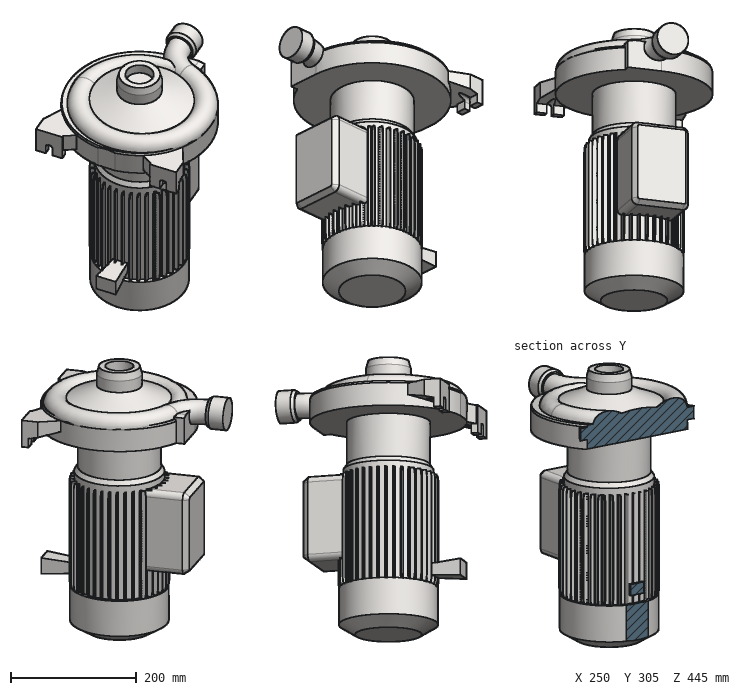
import math

import cadquery as cq


FAN_COVER_BASE_RADIUS = 53.0
FAN_COVER_RADIUS = 79.0
FAN_COVER_CONE_TOP = 16.0
FAN_COVER_TOP = 75.5
FRAME_RADIUS = 72.0
FRAME_TOP = 268.0
BARREL_RADIUS = 66.5
BARREL_BOTTOM = 276.0
FLANGE_RADIUS = 125.0
FLANGE_BOTTOM = 345.7
FLANGE_RIM = 382.6
FLANGE_TOP = 386.0
FLANGE_CHAMFER = 1.5
COVER_CONE_RADIUS = 95.0
COVER_CONE_SLOPE = 0.41
NOZZLE_RADIUS = 36.0
NOZZLE_BOTTOM = 413.0
NOZZLE_CHAMFER_BOTTOM = 433.0
NOZZLE_TOP_RADIUS = 32.7
NOZZLE_TOP = 445.0
SUCTION_BORE_RADIUS = 22.5
SUCTION_BORE_DEPTH = 16.5
FLANGE_FLAT_WIDTH = 30.5

FIN_RADIUS = 80.0
FIN_END_DROP = 1.5
FIN_END_LENGTH = 13.0
FIN_TOP = 257.3
FIN_THICKNESS = 1.8
FIN_PITCH_ANGLE = 9.0
FINS_PER_HALF_GROUP = 5
FIN_ROOT = 50.0

PIPE_RADIUS = 20.0
PIPE_Z = FLANGE_RIM
VOLUTE_CENTER_X = 5.0
VOLUTE_RADIUS = 100.0
OUTLET_START_ANGLE = 70.0
TAIL_END_ANGLE = 76.0
TAIL_RADIUS_LOSS = 7.5
TAIL_INWARD_SHIFT = 5.5
TAIL_RISE = 3.5
TAIL_SECTIONS = 5

SOCKET_RADIUS = 26.3
SOCKET_CONE_LENGTH = 5.5
SOCKET_CONE_RADIUS = 23.0
OUTLET_END_Y = 180.0

PAD_RIGHT = 56.0
PAD_SHOULDER = 45.0
PAD_TOP = 392.0
PAD_SHOULDER_DROP = 2.7
PAD_INNER_Y = 90.0

FOOT_FACE_Y = -125.0
FOOT_OUTER_X = 123.2
FOOT_INNER_X = 77.0
FOOT_BOTTOM = 337.6
FOOT_PLATE_THICKNESS = 11.4
FOOT_SHOULDER_Y = -98.0
FOOT_OUTER_ROOT = (106.4, -64.5)
FOOT_INNER_ROOT = (58.5, -111.0)
FOOT_INNER_STEP = 3.0
FOOT_WEB_BOTTOM = 352.5
FOOT_ROOT_BOTTOM = 364.0
FOOT_SLOT_X = 100.2
FOOT_SLOT_WIDTH = 12.0
FOOT_SLOT_TOP = 356.8

BOX_WIDTH = 95.5
BOX_BOTTOM = 119.0
BOX_TOP = 256.8
BOX_OUTER_Y = 129.0
BOX_CORNER_RADIUS = 10.0
BOX_CHAMFER_DEPTH = 9.5
BOX_CHAMFER_INSET = 7.0

SUPPORT_Z = 99.0
SUPPORT_FACE_WIDTH = 34.0
SUPPORT_FACE_HEIGHT = 27.0
SUPPORT_TAPER = 4.7
SUPPORT_ROOT_Y = -60.0


def turned(points):
    """Revolve a closed (radius, height) outline about the pump axis."""
    return cq.Workplane("XZ").polyline(points).close().revolve(360, (0, 0, 0), (0, 1, 0))


def box_between(low, high):
    """Box spanned by two opposite corners."""
    size = [b - a for a, b in zip(low, high)]
    return cq.Workplane("XY").box(*size, centered=False).translate(low)


def make_body():
    cone_edge_z = NOZZLE_BOTTOM - COVER_CONE_SLOPE * (COVER_CONE_RADIUS - NOZZLE_RADIUS)
    body = turned([
        (0, 0),
        (FAN_COVER_BASE_RADIUS, 0),
        (FAN_COVER_RADIUS, FAN_COVER_CONE_TOP),
        (FAN_COVER_RADIUS, FAN_COVER_TOP),
        (FRAME_RADIUS, FAN_COVER_TOP),
        (FRAME_RADIUS, FRAME_TOP),
        (BARREL_RADIUS, BARREL_BOTTOM),
        (BARREL_RADIUS, FLANGE_BOTTOM),
        (FLANGE_RADIUS, FLANGE_BOTTOM),
        (FLANGE_RADIUS, FLANGE_RIM),
        (FLANGE_RADIUS - FLANGE_CHAMFER, FLANGE_TOP),
        (COVER_CONE_RADIUS, FLANGE_TOP),
        (COVER_CONE_RADIUS, cone_edge_z),
        (NOZZLE_RADIUS, NOZZLE_BOTTOM),
        (NOZZLE_RADIUS, NOZZLE_CHAMFER_BOTTOM),
        (NOZZLE_TOP_RADIUS, NOZZLE_TOP),
        (0, NOZZLE_TOP),
    ])
    flat_y = -math.sqrt(FLANGE_RADIUS**2 - (FLANGE_FLAT_WIDTH / 2) ** 2)
    flat_cut = box_between(
        (-FLANGE_RADIUS, -2 * FLANGE_RADIUS, FLANGE_BOTTOM),
        (FLANGE_RADIUS, flat_y, FLANGE_TOP),
    )
    return body.cut(flat_cut)


def make_suction_bore():
    bore = cq.Workplane("XY").circle(SUCTION_BORE_RADIUS).extrude(SUCTION_BORE_DEPTH)
    return bore.translate((0, 0, NOZZLE_TOP - SUCTION_BORE_DEPTH))


def make_fin(offset, tip):
    """Plate in a plane X = offset, reaching out to Y = tip and easing in towards both ends."""
    middle_z = (FAN_COVER_TOP + FIN_TOP) / 2
    upper_half = (
        cq.Workplane("YZ")
        .moveTo(tip, middle_z)
        .lineTo(tip, FIN_TOP - FIN_END_LENGTH)
        .tangentArcPoint((tip - FIN_END_DROP, FIN_TOP), relative=False)
        .lineTo(FIN_ROOT, FIN_TOP)
        .lineTo(FIN_ROOT, middle_z)
        .close()
        .extrude(FIN_THICKNESS / 2, both=True)
        .translate((offset, 0, 0))
    )
    return upper_half.union(upper_half.mirror("XY", (0, 0, middle_z)))


def make_fins():
    """Four groups of parallel fins, one group per side, with their outer tip edges on a circle."""
    group = cq.Workplane("XY")
    for index in range(FINS_PER_HALF_GROUP):
        angle = math.radians((index + 0.5) * FIN_PITCH_ANGLE)
        offset = FIN_RADIUS * math.sin(angle)
        tip = math.sqrt(FIN_RADIUS**2 - (offset + FIN_THICKNESS / 2) ** 2)
        fin = make_fin(offset, tip)
        group = group.union(fin).union(fin.mirror("YZ"))
    fins = cq.Workplane("XY")
    for quarter in range(4):
        fins = fins.union(group.rotate((0, 0, 0), (0, 0, 1), 90 * quarter))
    return fins


def volute_point(angle, radius=VOLUTE_RADIUS, z=PIPE_Z):
    """Point on the volute centre line, angle in degrees from +X."""
    turn = math.radians(angle)
    return cq.Vector(VOLUTE_CENTER_X + radius * math.cos(turn), radius * math.sin(turn), z)


def make_volute():
    """Constant pipe from the -X side round through -Y and +X to the outlet bend."""
    arc = cq.Edge.makeThreePointArc(
        volute_point(180),
        volute_point(270),
        volute_point(360 + OUTLET_START_ANGLE),
    )
    section = cq.Workplane(cq.Plane(volute_point(180), xDir=(1, 0, 0), normal=(0, -1, 0)))
    return section.circle(PIPE_RADIUS).sweep(cq.Workplane(cq.Wire.assembleEdges([arc])))


def make_volute_tail():
    """Narrowing end of the volute, from the -X side to under the outlet bend."""
    sections = []
    for index in range(TAIL_SECTIONS):
        angle = 180 + (TAIL_END_ANGLE - 180) * index / (TAIL_SECTIONS - 1)
        quarters = (180 - angle) / 90
        center = volute_point(
            angle,
            VOLUTE_RADIUS - TAIL_INWARD_SHIFT * quarters,
            PIPE_Z + TAIL_RISE * quarters,
        )
        turn = math.radians(angle)
        tangent = cq.Vector(math.sin(turn), -math.cos(turn), 0)
        sections.append(cq.Wire.makeCircle(PIPE_RADIUS - TAIL_RADIUS_LOSS * quarters, center, tangent))
    return cq.Workplane(cq.Solid.makeLoft(sections))


def make_outlet():
    """Reverse bend that ends along +Y at X = 0, with its socket."""
    start = volute_point(OUTLET_START_ANGLE)
    turn = math.radians(OUTLET_START_ANGLE)
    bend_radius = start.x / (1 - math.cos(turn))
    bend_end_y = start.y + bend_radius * math.sin(turn)
    middle = cq.Vector(
        bend_radius * (1 - math.cos(turn / 2)),
        bend_end_y - bend_radius * math.sin(turn / 2),
        PIPE_Z,
    )
    end = cq.Vector(0, bend_end_y, PIPE_Z)
    arc = cq.Edge.makeThreePointArc(end, middle, start)
    section = cq.Workplane(cq.Plane(end, xDir=(1, 0, 0), normal=(0, -1, 0)))
    bend = section.circle(PIPE_RADIUS).sweep(cq.Workplane(cq.Wire.assembleEdges([arc])))
    socket = (
        cq.Workplane("XY")
        .polyline([
            (0, bend_end_y),
            (SOCKET_CONE_RADIUS, bend_end_y),
            (SOCKET_RADIUS, bend_end_y + SOCKET_CONE_LENGTH),
            (SOCKET_RADIUS, OUTLET_END_Y),
            (0, OUTLET_END_Y),
        ])
        .close()
        .revolve(360, (0, 0, 0), (0, 1, 0))
        .translate((0, 0, PIPE_Z))
    )
    return bend.union(socket)


def make_outlet_pad():
    outline = [
        (0, FLANGE_BOTTOM),
        (PAD_RIGHT, FLANGE_BOTTOM),
        (PAD_RIGHT, PAD_TOP - PAD_SHOULDER_DROP),
        (PAD_SHOULDER, PAD_TOP),
        (0, PAD_TOP),
    ]
    pad = cq.Workplane("XZ").polyline(outline).close().extrude(PAD_INNER_Y - FLANGE_RADIUS)
    return pad.translate((0, PAD_INNER_Y, 0))


def make_foot():
    """Foot on the +X side: a web with a rising underside and a slotted end plate."""
    outline = [
        (FOOT_INNER_X, FOOT_FACE_Y),
        (FOOT_OUTER_X, FOOT_FACE_Y),
        (FOOT_OUTER_X, FOOT_SHOULDER_Y),
        FOOT_OUTER_ROOT,
        FOOT_INNER_ROOT,
        (FOOT_INNER_X, FOOT_FACE_Y + FOOT_INNER_STEP),
    ]
    foot = (
        cq.Workplane("XY")
        .polyline(outline)
        .close()
        .extrude(FLANGE_RIM - FOOT_BOTTOM)
        .translate((0, 0, FOOT_BOTTOM))
    )
    plate_back_y = FOOT_FACE_Y + FOOT_PLATE_THICKNESS
    root_y = FOOT_OUTER_ROOT[1]
    underside = (
        cq.Workplane("YZ")
        .polyline([
            (plate_back_y, FOOT_BOTTOM),
            (root_y, FOOT_BOTTOM),
            (root_y, FOOT_ROOT_BOTTOM),
            (plate_back_y, FOOT_WEB_BOTTOM),
        ])
        .close()
        .extrude(FOOT_OUTER_X)
    )
    beside_plate = box_between(
        (0, FOOT_FACE_Y, FOOT_BOTTOM),
        (FOOT_INNER_X, plate_back_y, FOOT_WEB_BOTTOM),
    )
    slot_radius = FOOT_SLOT_WIDTH / 2
    slot_center_z = FOOT_SLOT_TOP - slot_radius
    slot = (
        cq.Workplane("XZ")
        .moveTo(FOOT_SLOT_X - slot_radius, FOOT_BOTTOM)
        .lineTo(FOOT_SLOT_X + slot_radius, FOOT_BOTTOM)
        .lineTo(FOOT_SLOT_X + slot_radius, slot_center_z)
        .threePointArc((FOOT_SLOT_X, FOOT_SLOT_TOP), (FOOT_SLOT_X - slot_radius, slot_center_z))
        .close()
        .extrude(root_y - FOOT_FACE_Y)
        .translate((0, root_y, 0))
    )
    return foot.cut(underside).cut(beside_plate).cut(slot)


def make_terminal_box():
    return (
        box_between((-BOX_WIDTH / 2, 0, BOX_BOTTOM), (BOX_WIDTH / 2, BOX_OUTER_Y, BOX_TOP))
        .edges("|Y")
        .fillet(BOX_CORNER_RADIUS)
        .faces(">Y")
        .chamfer(BOX_CHAMFER_INSET, BOX_CHAMFER_DEPTH)
    )


def make_support():
    depth = SUPPORT_ROOT_Y - FOOT_FACE_Y
    return (
        cq.Workplane("XZ", origin=(0, FOOT_FACE_Y, SUPPORT_Z))
        .rect(SUPPORT_FACE_WIDTH, SUPPORT_FACE_HEIGHT)
        .extrude(-depth, taper=SUPPORT_TAPER)
    )


foot = make_foot()
result = (
    make_body()
    .union(make_fins())
    .union(make_terminal_box())
    .union(make_support())
    .union(foot)
    .union(foot.mirror("YZ"))
    .union(make_outlet_pad())
    .union(make_volute_tail())
    .union(make_volute())
    .union(make_outlet())
    .cut(make_suction_bore())
)